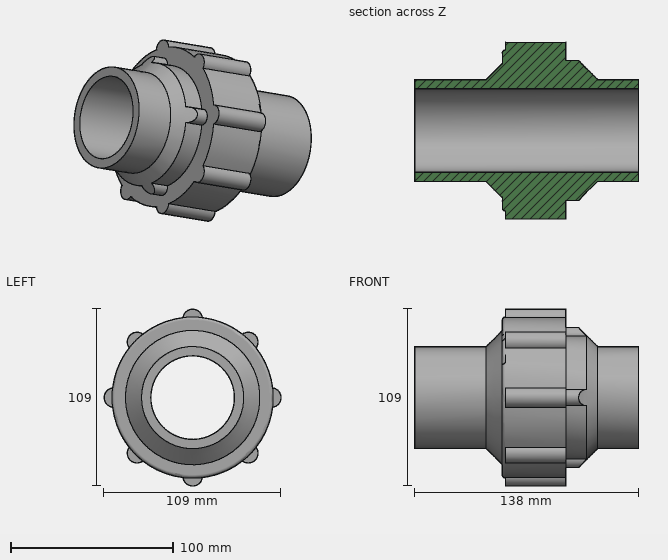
import cadquery as cq

length = 138.0
pipe_radius = 31.5
bore_radius = 25.7

nut_radius = 49.7
nut_start = 54.0
nut_rounding = 2.0
nut_end = 93.2
lobe_count = 8
lobe_radius = 6.1
lobe_tip_radius = 54.5
lobe_start = nut_start + nut_rounding

flare_start = 44.0
flare_radius = pipe_radius + nut_start - flare_start

collar_end = 106.0
cone_end = 112.7
collar_radius = pipe_radius + cone_end - collar_end
rib_count = 4
rib_radius = 5.0
rib_tip_radius = collar_radius + rib_radius
rib_overlap = 2.8


def x_cylinder(radius, start, end):
    return cq.Workplane("YZ").workplane(offset=start).circle(radius).extrude(end - start)


def bars_around_axis(count, bar_radius, tip_radius, start, end):
    """Round bars parallel to X, evenly spaced from the Y axis."""
    return (
        cq.Workplane("YZ")
        .workplane(offset=start)
        .polarArray(tip_radius - bar_radius, 0, 360, count)
        .circle(bar_radius)
        .extrude(end - start)
    )


def x_cone(start_radius, end_radius, start, end):
    profile = [(start, 0), (start, start_radius), (end, end_radius), (end, 0)]
    return cq.Workplane("XY").polyline(profile).close().revolve(360, (0, 0), (1, 0))


def make_nut():
    body = x_cylinder(nut_radius, nut_start, nut_end).faces("<X").edges().fillet(nut_rounding)
    return body.union(bars_around_axis(lobe_count, lobe_radius, lobe_tip_radius, lobe_start, nut_end))


def make_collar():
    start = nut_end - rib_overlap
    body = x_cylinder(collar_radius, start, cone_end)
    body = body.union(bars_around_axis(rib_count, rib_radius, rib_tip_radius, start, cone_end))
    end_cone = x_cone(pipe_radius + cone_end - start, pipe_radius, start, cone_end)
    return body.intersect(end_cone)


pipe = x_cylinder(pipe_radius, 0, length)
flare = x_cone(pipe_radius, flare_radius, flare_start, nut_start)
bore = x_cylinder(bore_radius, 0, length)

result = pipe.union(flare).union(make_nut()).union(make_collar()).cut(bore)